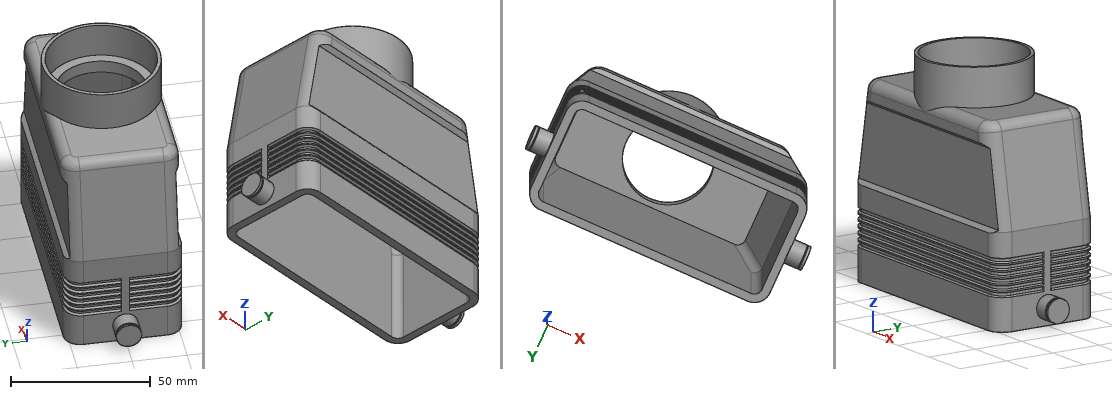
import cadquery as cq
import math

overall_length = 108.0
overall_height = 91.0
body_width = 43.0

skirt_length = 93.7
skirt_height = 37.0
body_height = 76.0
end_inset = 7.1
corner_radius = 6.2
top_edge_radius = 4.1
wall = 3.1

recess_depth = 1.7
recess_bottom = 36.2
recess_top = 68.3
recess_bevel = 1.5

entry_radius = body_width / 2
counterbore_radius = 20.1
counterbore_floor = 77.8
bore_radius = 16.4

groove_count = 6
groove_mouth = 1.9
groove_floor = 1.1
groove_depth = 1.0
groove_band_bottom = 12.9
groove_band_top = 27.4
groove_gap = 3.0

pin_radius = 4.6
pin_height = 6.9
pin_groove_offset = 1.1
pin_groove_width = 0.4
pin_groove_depth = 0.2


def tapered_block(length, width, height, radius):
    """Block with upright, then inward-leaning ends and rounded corners."""
    half = length / 2
    lean = end_inset / (body_height - skirt_height)
    top_half = half - lean * (height - skirt_height)
    outline = [
        (-half, 0),
        (half, 0),
        (half, skirt_height),
        (top_half, height),
        (-top_half, height),
        (-half, skirt_height),
    ]
    block = cq.Workplane("XZ").polyline(outline).close().extrude(width / 2, both=True)
    return block.edges("not #Z").fillet(radius)


def recess_cutter():
    """Full-length bar with a bevelled trapezoid section, for the front face."""
    face = -body_width / 2
    floor = face + recess_depth
    section = [
        (face, recess_bottom),
        (floor, recess_bottom + recess_bevel),
        (floor, recess_top - recess_bevel),
        (face, recess_top),
    ]
    return cq.Workplane("YZ").polyline(section).close().extrude(skirt_length / 2, both=True)


def groove_cutter(height):
    """Bar of trapezoid section bent along the front half of the skirt outline."""
    x = skirt_length / 2
    y = -body_width / 2
    start = -groove_gap / 2
    corner_mid = corner_radius * (1 - math.sqrt(0.5))
    path = (
        cq.Workplane("XY", origin=(0, 0, height))
        .moveTo(-x, start)
        .lineTo(-x, y + corner_radius)
        .threePointArc((-x + corner_mid, y + corner_mid), (-x + corner_radius, y))
        .lineTo(x - corner_radius, y)
        .threePointArc((x - corner_mid, y + corner_mid), (x, y + corner_radius))
        .lineTo(x, start)
    )
    section = [
        (0, -groove_mouth / 2),
        (groove_depth, -groove_floor / 2),
        (groove_depth, groove_floor / 2),
        (0, groove_mouth / 2),
    ]
    return cq.Workplane("XZ", origin=(-x, start, height)).polyline(section).close().sweep(path)


def pin():
    """Locking pin on the +X end, with a fine ring groove near its tip."""
    root = skirt_length / 2 - wall / 2
    tip = overall_length / 2
    groove_outer = tip - pin_groove_offset
    groove_inner = groove_outer - pin_groove_width
    neck_radius = pin_radius - pin_groove_depth
    profile = [
        (root, 0),
        (root, pin_radius),
        (groove_inner, pin_radius),
        (groove_inner, neck_radius),
        (groove_outer, neck_radius),
        (groove_outer, pin_radius),
        (tip, pin_radius),
        (tip, 0),
    ]
    return (
        cq.Workplane("XZ").polyline(profile).close()
        .revolve(360, (0, 0, 0), (1, 0, 0))
        .translate((0, 0, pin_height))
    )


hood = tapered_block(skirt_length, body_width, body_height, corner_radius)
hood = hood.faces(">Z").edges().fillet(top_edge_radius)

collar_base = body_height - top_edge_radius
collar = (
    cq.Workplane("XY", origin=(0, 0, collar_base))
    .circle(entry_radius)
    .extrude(overall_height - collar_base)
)
hood = hood.union(collar)

recess = recess_cutter()
hood = hood.cut(recess).cut(recess.mirror("XZ"))

cavity = tapered_block(
    skirt_length - 2 * wall, body_width - 2 * wall, body_height - wall, corner_radius - wall
)
hood = hood.cut(cavity)

counterbore = (
    cq.Workplane("XY", origin=(0, 0, counterbore_floor))
    .circle(counterbore_radius)
    .extrude(overall_height - counterbore_floor)
)
bore = (
    cq.Workplane("XY", origin=(0, 0, skirt_height))
    .circle(bore_radius)
    .extrude(overall_height - skirt_height)
)
hood = hood.cut(counterbore).cut(bore)

first_groove = groove_band_bottom + groove_mouth / 2
groove_pitch = (groove_band_top - groove_band_bottom - groove_mouth) / (groove_count - 1)
for index in range(groove_count):
    groove = groove_cutter(first_groove + index * groove_pitch)
    hood = hood.cut(groove).cut(groove.mirror("XZ"))

right_pin = pin()
result = hood.union(right_pin).union(right_pin.mirror("YZ"))